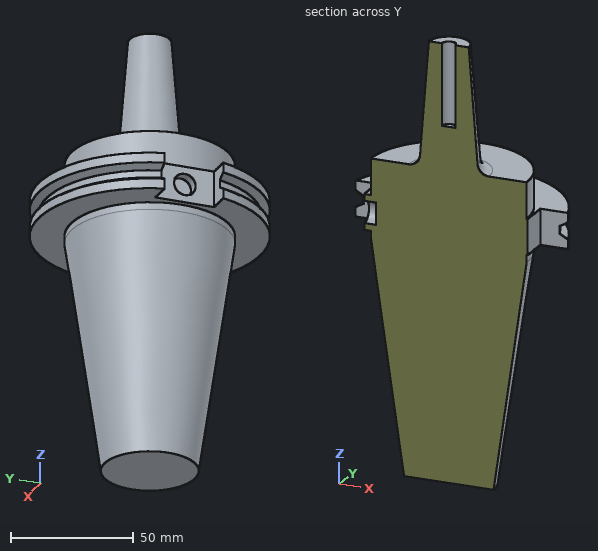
import cadquery as cq
import math

gauge_radius = 69.85 / 2
shank_length = 101.6
shank_taper = 7 / 24
shank_tip_radius = gauge_radius - shank_length * shank_taper / 2

flange_radius = 98.425 / 2
flange_bottom = 3.175
flange_top = 19.05
flange_center_z = (flange_bottom + flange_top) / 2
groove_floor_radius = 45.7
groove_floor_half_width = 1.6
groove_wall_angle = 30.0
groove_rim_half_width = groove_floor_half_width + (
    (flange_radius - groove_floor_radius) * math.tan(math.radians(groove_wall_angle))
)

shoulder_radius = gauge_radius
shoulder_top = 35.0

nose_top = 90.0
nose_tip_radius = 9.0
nose_half_angle = 4.5
nose_root_radius = nose_tip_radius + (nose_top - shoulder_top) * math.tan(
    math.radians(nose_half_angle)
)
root_fillet_radius = 5.0
bore_diameter = 6.0
bore_depth = 36.0

slot_width = 25.91
near_slot_floor_x = -37.7
far_slot_floor_x = 35.3

slot_hole_diameter = 9.5
slot_hole_depth = 5.0


def revolve_about_z(profile):
    """Full revolution of a closed XZ half-profile about the spindle axis."""
    return profile.revolve(360, (0, 0, 0), (0, 1, 0))


def make_shank_and_flange():
    """Shank, grooved flange and shoulder as one revolved profile."""
    profile = (
        cq.Workplane("XZ")
        .moveTo(0, -shank_length)
        .lineTo(shank_tip_radius, -shank_length)
        .lineTo(gauge_radius, 0)
        .lineTo(gauge_radius, flange_bottom)
        .lineTo(flange_radius, flange_bottom)
        .lineTo(flange_radius, flange_center_z - groove_rim_half_width)
        .lineTo(groove_floor_radius, flange_center_z - groove_floor_half_width)
        .lineTo(groove_floor_radius, flange_center_z + groove_floor_half_width)
        .lineTo(flange_radius, flange_center_z + groove_rim_half_width)
        .lineTo(flange_radius, flange_top)
        .lineTo(shoulder_radius, flange_top)
        .lineTo(shoulder_radius, shoulder_top)
        .lineTo(0, shoulder_top)
        .close()
    )
    return revolve_about_z(profile)


def add_nose(body):
    """Join the conical nose to the shoulder and fillet its root."""
    nose_profile = (
        cq.Workplane("XZ")
        .moveTo(0, shoulder_top)
        .lineTo(nose_root_radius, shoulder_top)
        .lineTo(nose_tip_radius, nose_top)
        .lineTo(0, nose_top)
        .close()
    )
    joined = body.union(revolve_about_z(nose_profile))
    shoulder_face = joined.faces(cq.selectors.NearestToPointSelector((0, 0, shoulder_top)))
    root_edge = shoulder_face.edges(cq.selectors.RadiusNthSelector(0))
    return root_edge.fillet(root_fillet_radius)


def make_slot(floor_x):
    """Cutter for a drive slot, from its floor out past the flange rim."""
    outward = math.copysign(1, floor_x)
    length = flange_radius
    cutter = cq.Workplane("XY").box(length, slot_width, flange_top - flange_bottom)
    return cutter.translate((floor_x + outward * length / 2, 0, flange_center_z))


def make_slot_hole():
    """Cutter for the blind hole running inward from the -X slot floor."""
    return (
        cq.Workplane("YZ", origin=(near_slot_floor_x, 0, flange_center_z))
        .circle(slot_hole_diameter / 2)
        .extrude(slot_hole_depth)
    )


def make_bore():
    """Cutter for the blind tool bore, down from the nose tip."""
    return (
        cq.Workplane("XY", origin=(0, 0, nose_top))
        .circle(bore_diameter / 2)
        .extrude(-bore_depth)
    )


result = add_nose(make_shank_and_flange())
for slot_floor_x in (near_slot_floor_x, far_slot_floor_x):
    result = result.cut(make_slot(slot_floor_x))
result = result.cut(make_slot_hole())
result = result.cut(make_bore())